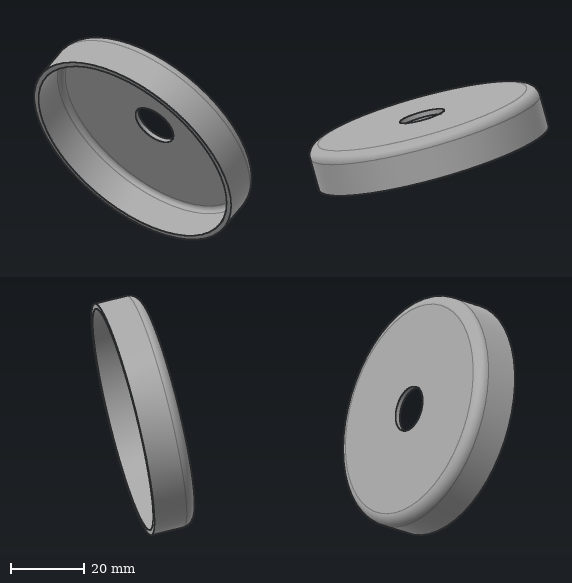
import cadquery as cq

outer_diameter = 65.0
depth = 12.0
wall = 1.5
outer_round = 2 * wall
inner_round = outer_round - wall
bore_diameter = 12.5
inner_diameter = outer_diameter - 2 * wall


def disc(diameter, length):
    """Solid disc from the open rim plane (Y = 0) towards +Y."""
    return cq.Workplane("XZ").circle(diameter / 2).extrude(-length)


body = disc(outer_diameter, depth).faces(">Y").edges().fillet(outer_round)
cavity = disc(inner_diameter, depth - wall).faces(">Y").edges().fillet(inner_round)

bore = disc(bore_diameter, depth)

result = body.cut(cavity).cut(bore)